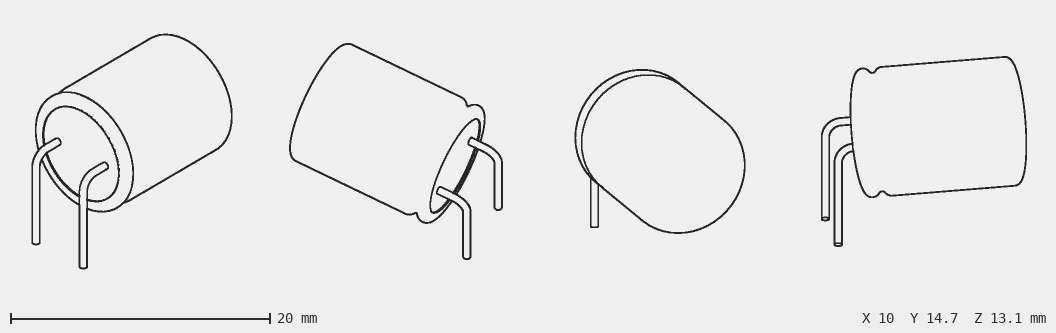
import cadquery as cq
import math


can_diameter = 10.0
can_length = 12.0
edge_radius = 0.4

groove_diameter = 9.2
groove_arc_radius = 0.5
groove_center_y = 1.18

recess_diameter = 8.0
recess_depth = 0.1

lead_diameter = 0.6
lead_spacing = 5.0
lead_straight = 1.2
lead_bend_radius = 1.2
lead_tip_z = -8.1
lead_embed = 0.5

can_radius = can_diameter / 2
groove_floor = groove_diameter / 2
shoulder_radial = can_radius - edge_radius
diagonal_part = math.sqrt(0.5)


def point_on_shoulder(center_y, axial, radial):
    """Point where a ray from a shoulder center leaves its rounding, as (radius, y)."""
    reach = edge_radius / math.hypot(axial, radial)
    return (shoulder_radial + radial * reach, center_y + axial * reach)


def make_can():
    """Revolve the half profile of the can about the Y axis."""
    radial = groove_floor + groove_arc_radius - shoulder_radial
    axial = math.sqrt((edge_radius + groove_arc_radius) ** 2 - radial**2)

    front_edge_y = edge_radius
    front_shoulder_y = groove_center_y - axial
    rear_shoulder_y = groove_center_y + axial
    rear_edge_y = can_length - edge_radius
    groove_start = point_on_shoulder(front_shoulder_y, axial, radial)
    groove_end = point_on_shoulder(rear_shoulder_y, -axial, radial)

    middle_radial = shoulder_radial + edge_radius * diagonal_part
    front_middle = (middle_radial, front_edge_y - edge_radius * diagonal_part)
    rear_middle = (middle_radial, rear_edge_y + edge_radius * diagonal_part)

    profile = (
        cq.Workplane("XY")
        .lineTo(shoulder_radial, 0)
        .threePointArc(front_middle, (can_radius, front_edge_y))
        .lineTo(can_radius, front_shoulder_y)
        .tangentArcPoint(groove_start, relative=False)
        .threePointArc((groove_floor, groove_center_y), groove_end)
        .tangentArcPoint((can_radius, rear_shoulder_y), relative=False)
        .lineTo(can_radius, rear_edge_y)
        .threePointArc(rear_middle, (shoulder_radial, can_length))
        .lineTo(0, can_length)
        .close()
    )
    return profile.revolve(360, (0, 0), (0, 1))


def make_recess():
    """Disc removed from the sealed end."""
    return cq.Workplane("XZ").circle(recess_diameter / 2).extrude(-recess_depth)


def make_lead(x):
    """Round lead leaving the sealed end along -Y, then bent down to -Z."""
    bend_start = (-lead_straight, 0)
    bend_end = (-lead_straight - lead_bend_radius, -lead_bend_radius)
    path = (
        cq.Workplane("YZ", origin=(x, 0, 0))
        .moveTo(lead_embed, 0)
        .lineTo(*bend_start)
        .tangentArcPoint(bend_end, relative=False)
        .lineTo(bend_end[0], lead_tip_z)
    )
    section = cq.Workplane("XZ", origin=(x, lead_embed, 0)).circle(lead_diameter / 2)
    return section.sweep(path)


result = make_can().cut(make_recess())
for side in (-1, 1):
    result = result.union(make_lead(side * lead_spacing / 2))